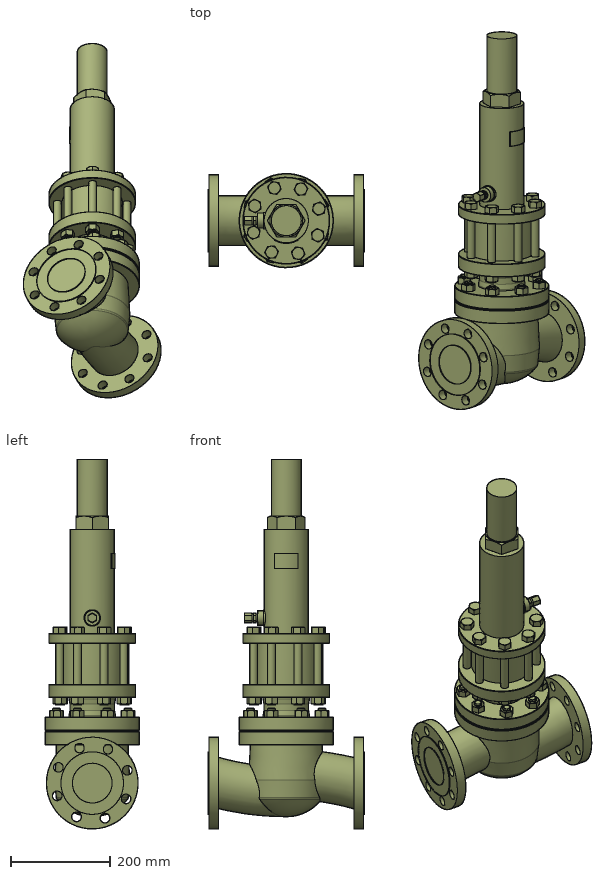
import cadquery as cq
import math


FACE_TO_FACE = 316.0
PIPE_FLANGE_DIA = 185.0
PIPE_FLANGE_THICKNESS = 22.0
RAISED_FACE_DIA = 126.0
RAISED_FACE_HEIGHT = 2.0
PIPE_BORE_DIA = 80.0
PIPE_BORE_DEPTH = 2.0
PIPE_BOLT_CIRCLE_DIA = 150.0
PIPE_BOLT_HOLE_DIA = 19.0
PIPE_DIA = 100.6
PIPE_OFFSET = 17.5
PIPE_OVERRUN = 1.5

BODY_TOP_DIA = 145.0
BODY_WIDEST_DIA = 152.0
BODY_WIDEST_Z = 6.0
BODY_LOWER_DIA = 145.0
BODY_DOME_TOP_Z = -31.0
BODY_DOME_EDGE_RADIUS = 7.0
BODY_BOTTOM_Z = -68.0

BONNET_FLANGE_DIA = 190.0
BONNET_BOTTOM_Z = 77.0
BONNET_TOP_Z = 133.5
GASKET_DIA = 185.0
GASKET_THICKNESS = 2.0
BONNET_BOLT_CIRCLE_DIA = 156.0
BONNET_BOLT_ANGLE = 22.5
BONNET_NUT_TURN = -18.0

NECK_DIA = 90.0
NECK_END_DIA = 94.0
NECK_END_LENGTH = 2.5
NECK_END_TAPER = 10.5
CLAMP_FLANGE_DIA = 175.0
LOWER_CLAMP_BOTTOM_Z = 172.0
LOWER_CLAMP_TOP_Z = 199.0
UPPER_CLAMP_BOTTOM_Z = 281.5
UPPER_CLAMP_TOP_Z = 301.5
SPACER_DIA = 122.0
CLAMP_BOLT_CIRCLE_DIA = 140.0
CLAMP_NUT_TURN = 27.0
FLANGE_CHAMFER = 1.0

HEX_SIDES = 6
HEX_CORNER_RATIO = 1 / math.cos(math.pi / HEX_SIDES)

BOLT_COUNT = 8
TILTED_BOLT_ANGLE = 20.0
BOLT_DIA = 16.0
NUT_ACROSS_FLATS = 24.0
NUT_HEIGHT = 13.0
BOLT_HEAD_HEIGHT = 12.5
NUT_CHAMFER_DROP = 1.5
STUD_END_LENGTH = 4.5
STUD_CHAMFER = 2.0
CLAMP_BOLT_END_LENGTH = 2.0

HOUSING_DIA = 89.1
HOUSING_TOP_Z = 511.0
LOCK_NUT_ACROSS_FLATS = 66.0
LOCK_NUT_TOP_Z = 537.5
LOCK_NUT_CHAMFER_DROP = 3.0
CAP_DIA = 60.5
TOTAL_HEIGHT = 744.5
CAP_TOP_Z = TOTAL_HEIGHT - PIPE_FLANGE_DIA / 2

PLATE_WIDTH = 48.0
PLATE_HEIGHT = 30.0
PLATE_CENTRE_Z = 447.0
PLATE_THICKNESS = 1.5

FITTING_Z = 332.5
FITTING_COLLAR_DIA = 33.0
FITTING_COLLAR_END = 46.0
FITTING_DISC_DIA = 30.0
FITTING_DISC_END = 57.5
FITTING_NECK_DIA = 16.0
FITTING_HEX_START = 61.0
FITTING_GROOVE_START = 65.5
FITTING_GROOVE_END = 69.0
FITTING_GROOVE_DIA = 17.3
FITTING_HEX_END = 84.5
FITTING_HEX_ACROSS_FLATS = 17.3


def cylinder(diameter, bottom, top):
    """Vertical cylinder on the stem axis."""
    return cq.Workplane("XY").workplane(offset=bottom).circle(diameter / 2).extrude(top - bottom)


def flange(diameter, bottom, top):
    """Round flange on the stem axis with chamfered rims."""
    return cylinder(diameter, bottom, top).edges().chamfer(FLANGE_CHAMFER)


def around_stem(shape, first_angle):
    """Repeat a shape lying at angle zero at every bolt position around the stem."""
    pattern = cq.Workplane("XY")
    for index in range(BOLT_COUNT):
        angle = first_angle + index * 360 / BOLT_COUNT
        pattern = pattern.add(shape.rotate((0, 0, 0), (0, 0, 1), angle))
    return pattern.combine()


def hexagon(across_flats, height, chamfer_drop):
    """Hexagonal nut from Z = 0 upwards with its upper corners turned to a cone, corners on X."""
    corner_dia = across_flats * HEX_CORNER_RATIO
    corner_radius = corner_dia / 2
    blank = cq.Workplane("XY").polygon(HEX_SIDES, corner_dia).extrude(height)
    turned = (
        cq.Workplane("XZ")
        .moveTo(0, 0)
        .lineTo(corner_radius, 0)
        .lineTo(corner_radius, height - chamfer_drop)
        .lineTo(across_flats / 2, height)
        .lineTo(0, height)
        .close()
        .revolve(360, (0, 0, 0), (0, 1, 0))
    )
    return blank.intersect(turned)


def pipe_flange():
    """Inlet flange on the -X side with raised face, shallow bore and bolt holes."""
    face_x = -FACE_TO_FACE / 2
    back_x = face_x + PIPE_FLANGE_THICKNESS
    rim_x = face_x + RAISED_FACE_HEIGHT
    disc = cq.Workplane("YZ", origin=(rim_x, 0, 0)).circle(PIPE_FLANGE_DIA / 2).extrude(back_x - rim_x)
    raised_face = (
        cq.Workplane("YZ", origin=(face_x, 0, 0)).circle(RAISED_FACE_DIA / 2).extrude(PIPE_FLANGE_THICKNESS)
    )
    bore = cq.Workplane("YZ", origin=(face_x, 0, 0)).circle(PIPE_BORE_DIA / 2).extrude(PIPE_BORE_DEPTH)
    holes = (
        cq.Workplane("YZ", origin=(face_x, 0, 0))
        .polarArray(PIPE_BOLT_CIRCLE_DIA / 2, -TILTED_BOLT_ANGLE, 360, BOLT_COUNT)
        .circle(PIPE_BOLT_HOLE_DIA / 2)
        .extrude(PIPE_FLANGE_THICKNESS)
    )
    return disc.union(raised_face).cut(holes).cut(bore)


def curved_pipe():
    """Inlet pipe on the -X side, curving down from its flange to level at the stem axis."""
    run = FACE_TO_FACE / 2 - PIPE_FLANGE_THICKNESS
    bend_radius = (run**2 + PIPE_OFFSET**2) / (2 * PIPE_OFFSET)
    bend_angle = math.degrees(math.asin(run / bend_radius))
    pipe = (
        cq.Workplane("YZ")
        .center(0, -PIPE_OFFSET)
        .circle(PIPE_DIA / 2)
        .revolve(PIPE_OVERRUN * bend_angle, (0, bend_radius, 0), (1, bend_radius, 0))
    )
    outside = cq.Workplane("YZ", origin=(-run - PIPE_FLANGE_THICKNESS / 2, 0, 0))
    return pipe.cut(outside.rect(FACE_TO_FACE, FACE_TO_FACE).extrude(-FACE_TO_FACE))


def pipe_ends():
    """Both pipes with flanges; the outlet pipe is the inlet pipe turned half round about Y."""
    inlet_pipe = curved_pipe()
    outlet_pipe = inlet_pipe.rotate((0, 0, 0), (0, 1, 0), 180)
    inlet_flange = pipe_flange()
    outlet_flange = inlet_flange.mirror("YZ")
    return inlet_pipe.union(outlet_pipe).union(inlet_flange).union(outlet_flange)


def body():
    """Cup-shaped body: slightly bulged wall and a domed bottom with a rounded edge."""
    upper_radius = BODY_TOP_DIA / 2
    lower_radius = BODY_LOWER_DIA / 2
    dome_depth = BODY_DOME_TOP_Z - BODY_BOTTOM_Z
    dome_radius = (lower_radius**2 + dome_depth**2) / (2 * dome_depth)
    middle_radius = lower_radius / 2
    middle_z = BODY_BOTTOM_Z + dome_radius - math.sqrt(dome_radius**2 - middle_radius**2)
    cup = (
        cq.Workplane("XZ")
        .moveTo(0, BONNET_BOTTOM_Z)
        .lineTo(upper_radius, BONNET_BOTTOM_Z)
        .lineTo(BODY_WIDEST_DIA / 2, BODY_WIDEST_Z)
        .lineTo(lower_radius, BODY_DOME_TOP_Z)
        .threePointArc((middle_radius, middle_z), (0, BODY_BOTTOM_Z))
        .close()
        .revolve(360, (0, 0, 0), (0, 1, 0))
    )
    edge_margin = BODY_DOME_EDGE_RADIUS / 2
    dome_edge = cq.selectors.BoxSelector(
        (-BODY_TOP_DIA, -BODY_TOP_DIA, BODY_DOME_TOP_Z - edge_margin),
        (BODY_TOP_DIA, BODY_TOP_DIA, BODY_DOME_TOP_Z + edge_margin),
        boundingbox=True,
    )
    return cup.edges(dome_edge).fillet(BODY_DOME_EDGE_RADIUS)


def neck():
    """Neck waisted between slightly wider ends."""
    waist_radius = NECK_DIA / 2
    end_radius = NECK_END_DIA / 2
    taper_start = NECK_END_LENGTH
    taper_end = NECK_END_LENGTH + NECK_END_TAPER
    return (
        cq.Workplane("XZ")
        .moveTo(0, BONNET_TOP_Z)
        .lineTo(end_radius, BONNET_TOP_Z)
        .lineTo(end_radius, BONNET_TOP_Z + taper_start)
        .lineTo(waist_radius, BONNET_TOP_Z + taper_end)
        .lineTo(waist_radius, LOWER_CLAMP_BOTTOM_Z - taper_end)
        .lineTo(end_radius, LOWER_CLAMP_BOTTOM_Z - taper_start)
        .lineTo(end_radius, LOWER_CLAMP_BOTTOM_Z)
        .lineTo(0, LOWER_CLAMP_BOTTOM_Z)
        .close()
        .revolve(360, (0, 0, 0), (0, 1, 0))
    )


def bonnet_joint():
    """Two bolted flanges with a recessed gasket, ringed by nuts on stud ends."""
    middle_z = (BONNET_BOTTOM_Z + BONNET_TOP_Z) / 2
    lower_top_z = middle_z - GASKET_THICKNESS / 2
    upper_bottom_z = middle_z + GASKET_THICKNESS / 2
    stud_length = NUT_HEIGHT + STUD_END_LENGTH
    nut = hexagon(NUT_ACROSS_FLATS, NUT_HEIGHT, NUT_CHAMFER_DROP)
    nut = nut.union(cylinder(BOLT_DIA, 0, stud_length).faces(">Z").chamfer(STUD_CHAMFER))
    nut = nut.rotate((0, 0, 0), (0, 0, 1), BONNET_NUT_TURN)
    nut = nut.translate((BONNET_BOLT_CIRCLE_DIA / 2, 0, BONNET_TOP_Z))
    return (
        flange(BONNET_FLANGE_DIA, BONNET_BOTTOM_Z, lower_top_z)
        .union(cylinder(GASKET_DIA, lower_top_z, upper_bottom_z))
        .union(flange(BONNET_FLANGE_DIA, upper_bottom_z, BONNET_TOP_Z))
        .union(around_stem(nut, BONNET_BOLT_ANGLE))
    )


def clamp_section():
    """Neck, two clamping flanges, the spacer between them and the long through bolts."""
    bolt_radius = CLAMP_BOLT_CIRCLE_DIA / 2
    bolt_end_z = LOWER_CLAMP_BOTTOM_Z - NUT_HEIGHT - CLAMP_BOLT_END_LENGTH
    head = hexagon(NUT_ACROSS_FLATS, BOLT_HEAD_HEIGHT, NUT_CHAMFER_DROP)
    nut = hexagon(NUT_ACROSS_FLATS, NUT_HEIGHT, NUT_CHAMFER_DROP).mirror("XY")
    nut = nut.rotate((0, 0, 0), (0, 0, 1), CLAMP_NUT_TURN)
    bolt = (
        cylinder(BOLT_DIA, bolt_end_z, UPPER_CLAMP_TOP_Z)
        .union(head.translate((0, 0, UPPER_CLAMP_TOP_Z)))
        .union(nut.translate((0, 0, LOWER_CLAMP_BOTTOM_Z)))
        .translate((bolt_radius, 0, 0))
    )
    return (
        neck()
        .union(flange(CLAMP_FLANGE_DIA, LOWER_CLAMP_BOTTOM_Z, LOWER_CLAMP_TOP_Z))
        .union(cylinder(SPACER_DIA, LOWER_CLAMP_TOP_Z, UPPER_CLAMP_BOTTOM_Z))
        .union(flange(CLAMP_FLANGE_DIA, UPPER_CLAMP_BOTTOM_Z, UPPER_CLAMP_TOP_Z))
        .union(around_stem(bolt, TILTED_BOLT_ANGLE))
    )


def spring_housing():
    """Housing tube, hexagonal lock nut and the cylindrical cap above it."""
    lock_nut = hexagon(LOCK_NUT_ACROSS_FLATS, LOCK_NUT_TOP_Z - HOUSING_TOP_Z, LOCK_NUT_CHAMFER_DROP)
    return (
        cylinder(HOUSING_DIA, UPPER_CLAMP_TOP_Z, HOUSING_TOP_Z)
        .union(lock_nut.translate((0, 0, HOUSING_TOP_Z)))
        .union(cylinder(CAP_DIA, LOCK_NUT_TOP_Z, CAP_TOP_Z))
    )


def name_plate():
    """Thin plate curved around the housing."""
    shell_dia = HOUSING_DIA + 2 * PLATE_THICKNESS
    bottom_z = PLATE_CENTRE_Z - PLATE_HEIGHT / 2
    window = (
        cq.Workplane("XZ", origin=(0, 0, PLATE_CENTRE_Z)).rect(PLATE_WIDTH, PLATE_HEIGHT).extrude(shell_dia)
    )
    return cylinder(shell_dia, bottom_z, bottom_z + PLATE_HEIGHT).intersect(window)


def side_fitting():
    """Stepped union on the housing side with a grooved hexagonal end."""
    def step(diameter, end):
        return cq.Workplane("YZ").circle(diameter / 2).extrude(-end)

    corner_dia = FITTING_HEX_ACROSS_FLATS * HEX_CORNER_RATIO
    hex_end = (
        cq.Workplane("YZ", origin=(-FITTING_HEX_START, 0, 0))
        .transformed(rotate=(0, 0, 90))
        .polygon(HEX_SIDES, corner_dia)
        .extrude(FITTING_HEX_START - FITTING_HEX_END)
    )
    groove = (
        cq.Workplane("YZ", origin=(-FITTING_GROOVE_START, 0, 0))
        .circle(corner_dia)
        .circle(FITTING_GROOVE_DIA / 2)
        .extrude(FITTING_GROOVE_START - FITTING_GROOVE_END)
    )
    fitting = (
        step(FITTING_COLLAR_DIA, FITTING_COLLAR_END)
        .union(step(FITTING_DISC_DIA, FITTING_DISC_END))
        .union(step(FITTING_NECK_DIA, FITTING_HEX_START))
        .union(hex_end.cut(groove))
    )
    return fitting.translate((0, 0, FITTING_Z))


result = (
    body()
    .union(pipe_ends())
    .union(bonnet_joint())
    .union(clamp_section())
    .union(spring_housing())
    .union(name_plate())
    .union(side_fitting())
)